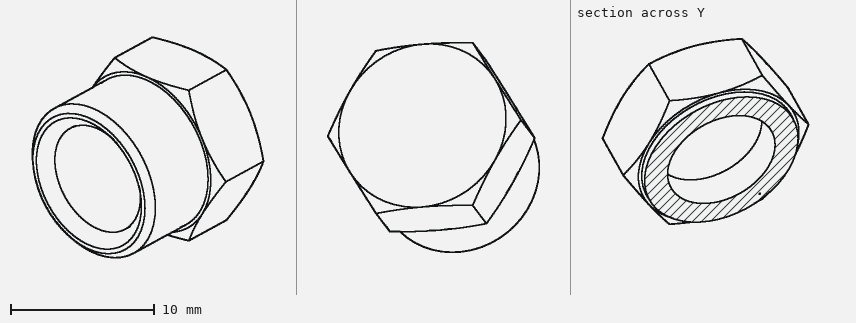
import cadquery as cq
import math

corner_width = 13.86
flat_width = corner_width * math.cos(math.radians(30))
head_length = 5.0
head_chamfer_angle = 30.0

shank_diameter = 11.5
shank_length = 6.0
shank_chamfer = 0.51

bore_diameter = 8.0
bore_depth = 8.0
mouth_diameter = 9.81
mouth_angle = 45.0

total_length = shank_length + head_length


def revolve_profile(points):
    """Revolve (radius, Y) points about the Y axis."""
    return cq.Workplane("XY").polyline(points).close().revolve(360, (0, 0, 0), (0, 1, 0))


def make_head():
    """Hexagonal prism with its corners turned conically at both ends."""
    prism = (
        cq.Workplane("XZ", origin=(0, total_length, 0))
        .polygon(6, corner_width)
        .extrude(head_length)
    )
    corner_radius = corner_width / 2
    flat_radius = flat_width / 2
    chamfer_length = (corner_radius - flat_radius) * math.tan(math.radians(head_chamfer_angle))
    turned_envelope = revolve_profile([
        (0, shank_length),
        (flat_radius, shank_length),
        (corner_radius, shank_length + chamfer_length),
        (corner_radius, total_length - chamfer_length),
        (flat_radius, total_length),
        (0, total_length),
    ])
    return prism.intersect(turned_envelope)


def make_shank():
    """Cylinder chamfered at its free end."""
    radius = shank_diameter / 2
    return revolve_profile([
        (0, 0),
        (radius - shank_chamfer, 0),
        (radius, shank_chamfer),
        (radius, shank_length),
        (0, shank_length),
    ])


def make_bore():
    """Flat-bottomed hole with a conical mouth."""
    bore_radius = bore_diameter / 2
    mouth_radius = mouth_diameter / 2
    mouth_depth = (mouth_radius - bore_radius) / math.tan(math.radians(mouth_angle))
    return revolve_profile([
        (0, 0),
        (mouth_radius, 0),
        (bore_radius, mouth_depth),
        (bore_radius, bore_depth),
        (0, bore_depth),
    ])


result = make_head().union(make_shank()).cut(make_bore())